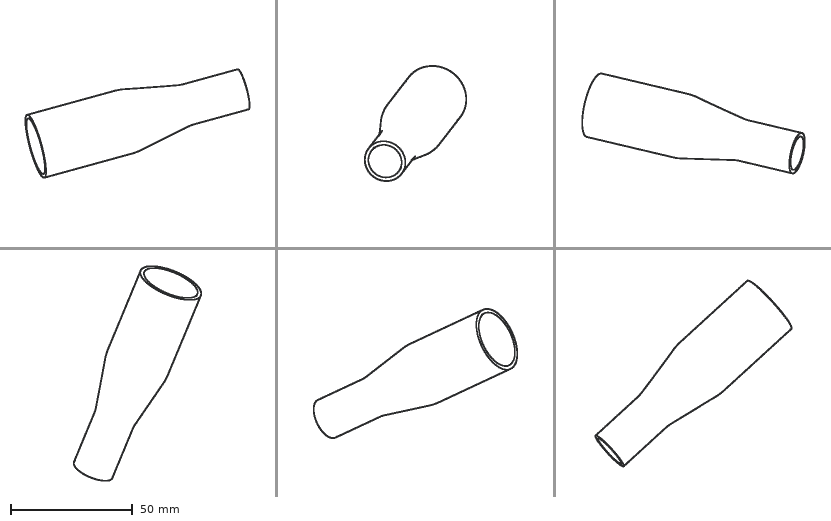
import cadquery as cq

total_length = 90.0
wide_outer_diameter = 26.9
wide_bore_diameter = 23.7
narrow_outer_diameter = 17.2
narrow_bore_diameter = 14.0

cone_start = 40.0
cone_end = 65.1

selection_margin = 0.1


def reducer_body(wide_diameter, narrow_diameter):
    """Solid of revolution about Y; each bend is rounded to the radius of its own tube."""
    wide_radius = wide_diameter / 2
    narrow_radius = narrow_diameter / 2
    body = (
        cq.Workplane("XY")
        .lineTo(wide_radius, 0)
        .lineTo(wide_radius, cone_start)
        .lineTo(narrow_radius, cone_end)
        .lineTo(narrow_radius, total_length)
        .lineTo(0, total_length)
        .close()
        .revolve(360, (0, 0, 0), (0, 1, 0))
    )
    for bend_position, bend_radius in ((cone_start, wide_radius), (cone_end, narrow_radius)):
        around_bend = cq.selectors.BoxSelector(
            (-wide_diameter, bend_position - selection_margin, -wide_diameter),
            (wide_diameter, bend_position + selection_margin, wide_diameter),
        )
        body = body.edges("%CIRCLE").edges(around_bend).fillet(bend_radius)
    return body


outer_skin = reducer_body(wide_outer_diameter, narrow_outer_diameter)
bore = reducer_body(wide_bore_diameter, narrow_bore_diameter)
result = outer_skin.cut(bore)